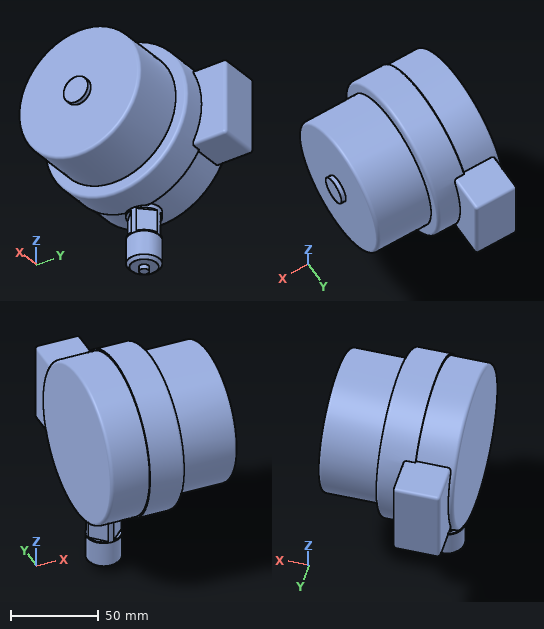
import cadquery as cq


overall_depth = 117.0
overall_height = 138

bezel_diameter = 98
rim_diameter = 100.0
housing_diameter = 85.0
stub_diameter = 17.0
rim_front_x = 24.0
rim_back_x = 46.0
housing_back_x = 82.1
stub_back_x = 85.1
edge_radius = 2.1

fitting_x = 17.0
shank_diameter = 21.0
thread_step = 0.03
thread_diameter = shank_diameter - 2 * thread_step
pin_diameter = 6.0
across_flats = 17.0
fitting_length = overall_height - rim_diameter / 2
pin_length = 3.0
thread_length = 18.0
thread_chamfer = 2.1
flat_height = 15.0
flat_margin = 0.8

box_front_x = 3.0
box_width = 28.0
box_height = 50.0
box_inner_y = 27.6
box_outer_y = overall_depth - rim_diameter / 2


def case_disc(diameter, start_x, end_x):
    """Cylinder along the case axis between two X positions."""
    disc = cq.Workplane("YZ", origin=(start_x, 0, 0)).circle(diameter / 2)
    return disc.extrude(end_x - start_x)


def fitting_disc(diameter, bottom_z, top_z):
    """Cylinder along the fitting axis between two heights."""
    disc = cq.Workplane("XY", origin=(fitting_x, 0, bottom_z)).circle(diameter / 2)
    return disc.extrude(top_z - bottom_z)


def make_case():
    bezel = case_disc(bezel_diameter, 0, rim_front_x).faces("<X").edges().fillet(edge_radius)
    rim = case_disc(rim_diameter, rim_front_x, rim_back_x).faces(">X").edges().fillet(edge_radius)
    housing = case_disc(housing_diameter, rim_back_x, housing_back_x)
    housing = housing.faces(">X").edges().fillet(edge_radius)
    stub = case_disc(stub_diameter, housing_back_x, stub_back_x)
    return bezel.union(rim).union(housing).union(stub)


def make_fitting():
    pin_bottom_z = -fitting_length
    thread_bottom_z = pin_bottom_z + pin_length
    shank_bottom_z = thread_bottom_z + thread_length
    flat_bottom_z = shank_bottom_z + flat_margin

    pin = fitting_disc(pin_diameter, pin_bottom_z, thread_bottom_z)
    thread = fitting_disc(thread_diameter, thread_bottom_z, shank_bottom_z)
    thread = thread.faces("<Z").edges().chamfer(thread_chamfer)
    shank = fitting_disc(shank_diameter, shank_bottom_z, 0)

    flats_plane = cq.Workplane("XY", origin=(fitting_x, 0, flat_bottom_z))
    surround = flats_plane.circle(shank_diameter).extrude(flat_height)
    square = flats_plane.transformed(rotate=(0, 0, 45)).rect(across_flats, across_flats)
    shank = shank.cut(surround.cut(square.extrude(flat_height)))
    return shank.union(thread).union(pin)


def make_terminal_box():
    depth = box_outer_y - box_inner_y
    center = (box_front_x + box_width / 2, box_inner_y + depth / 2, 0)
    box = cq.Workplane("XY", origin=center).box(box_width, depth, box_height)
    return box.edges().fillet(edge_radius)


result = make_case().union(make_fitting()).union(make_terminal_box())